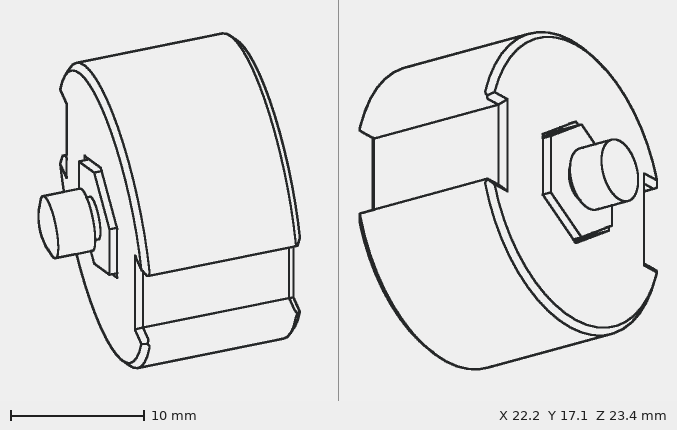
import cadquery as cq
import math

HOUSING_RADIUS = 11.7
HOUSING_DEPTH = 12.45
EDGE_CHAMFER = 0.5
SLOT_WIDTH = 6.5
SLOT_FLOOR_X = 9.37
SLOT_LIP_FILLET = 0.4

HEX_ACROSS_FLATS = 7.96
HEX_CLEARANCE = 0.3
HEX_PROUD = 0.52
POCKET_DEPTH = 1.5

NECK_RADIUS = 1.65
NECK_LENGTH = 0.63
HEAD_RADIUS = 2.4
HEAD_LENGTH = 2.9
BEVEL_RADIUS = 1.69
BEVEL_LENGTH = 0.33
TIP_HEIGHT = 0.3


def hexagon_prism(across_flats, start_y, end_y):
    """Hexagonal prism along Y, with flats facing +X and -X."""
    corner_diameter = across_flats / math.cos(math.pi / 6)
    prism = cq.Workplane("XZ").polygon(6, corner_diameter).extrude(end_y - start_y)
    return prism.rotate((0, 0, 0), (0, 1, 0), 30).translate((0, end_y, 0))


def make_housing():
    """Slotted disc with chamfered ends and a hexagonal pocket."""
    disc = cq.Workplane("XZ").circle(HOUSING_RADIUS).extrude(-HOUSING_DEPTH)
    slot_length = HOUSING_RADIUS - SLOT_FLOOR_X
    for side in (-1, 1):
        slot = (
            cq.Workplane("XZ")
            .center(side * (SLOT_FLOOR_X + slot_length / 2), 0)
            .rect(slot_length, SLOT_WIDTH)
            .extrude(-HOUSING_DEPTH)
        )
        disc = disc.cut(slot)

    disc = disc.faces("<Y or >Y").edges().chamfer(EDGE_CHAMFER)
    disc = disc.edges("|Y and (>X or <X)").fillet(SLOT_LIP_FILLET)

    pocket = hexagon_prism(HEX_ACROSS_FLATS + 2 * HEX_CLEARANCE, 0, POCKET_DEPTH)
    return disc.cut(pocket)


def make_stud():
    """Hexagonal plate resting on the pocket floor, with a necked round head."""
    plate = hexagon_prism(HEX_ACROSS_FLATS, -HEX_PROUD, POCKET_DEPTH)
    neck_end = -HEX_PROUD - NECK_LENGTH
    head_end = neck_end - HEAD_LENGTH
    bevel_end = head_end - BEVEL_LENGTH
    tip_end = bevel_end - TIP_HEIGHT
    tip_sphere_radius = (BEVEL_RADIUS**2 + TIP_HEIGHT**2) / (2 * TIP_HEIGHT)
    arc_radius = BEVEL_RADIUS / 2
    arc_y = tip_end + tip_sphere_radius - math.sqrt(tip_sphere_radius**2 - arc_radius**2)
    shaft = (
        cq.Workplane("XY")
        .moveTo(0, -HEX_PROUD)
        .lineTo(NECK_RADIUS, -HEX_PROUD)
        .lineTo(NECK_RADIUS, neck_end)
        .lineTo(HEAD_RADIUS, neck_end)
        .lineTo(HEAD_RADIUS, head_end)
        .lineTo(BEVEL_RADIUS, bevel_end)
        .threePointArc((arc_radius, arc_y), (0, tip_end))
        .close()
        .revolve(360, (0, 0, 0), (0, 1, 0))
    )
    return plate.union(shaft)


housing = make_housing()
stud = make_stud()
result = cq.Compound.makeCompound([housing.val(), stud.val()])